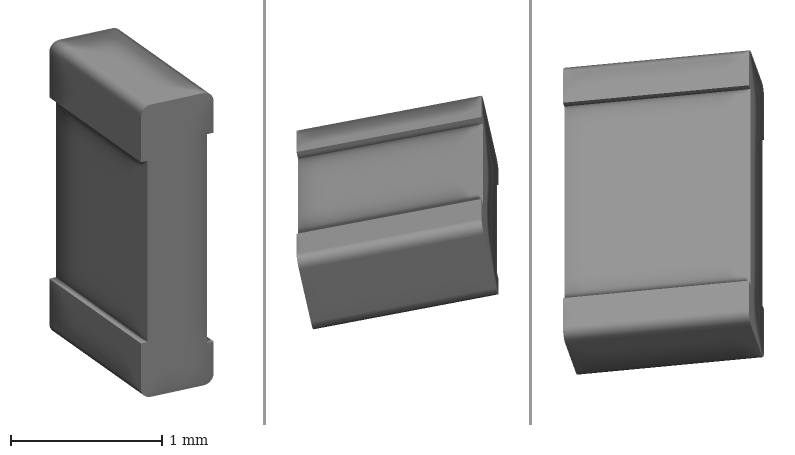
import cadquery as cq

WIDTH = 1.25
LENGTH = 2.1
PLATING = 0.05
CORE_THICKNESS = 0.45
CORNER_RADIUS = 0.075
FRONT_FLAP = 0.4
BACK_FLAP = 0.3

THICKNESS = CORE_THICKNESS + 2 * PLATING
CORE_LENGTH = LENGTH - 2 * PLATING


def make_core():
    """Rectangular core, centred on the origin."""
    return cq.Workplane("XY").box(WIDTH, CORE_THICKNESS, CORE_LENGTH)


def make_terminal(end):
    """C-shaped cap wrapped around one end of the core: end is +1 for the top, -1 for the bottom."""
    y_outer = THICKNESS / 2
    y_inner = CORE_THICKNESS / 2
    z_outer = end * LENGTH / 2
    z_inner = end * CORE_LENGTH / 2
    z_front = end * (LENGTH / 2 - FRONT_FLAP)
    z_back = end * (LENGTH / 2 - BACK_FLAP)
    profile = [
        (-y_outer, z_front),
        (-y_outer, z_outer),
        (y_outer, z_outer),
        (y_outer, z_back),
        (y_inner, z_back),
        (y_inner, z_inner),
        (-y_inner, z_inner),
        (-y_inner, z_front),
    ]
    cap = cq.Workplane("YZ").polyline(profile).close().extrude(WIDTH / 2, both=True)
    outer_face = ">Z" if end > 0 else "<Z"
    return cap.faces(outer_face).edges("|X").fillet(CORNER_RADIUS)


core = make_core()
terminals = [make_terminal(end) for end in (1, -1)]

result = cq.Compound.makeCompound([core.val(), *[terminal.val() for terminal in terminals]])